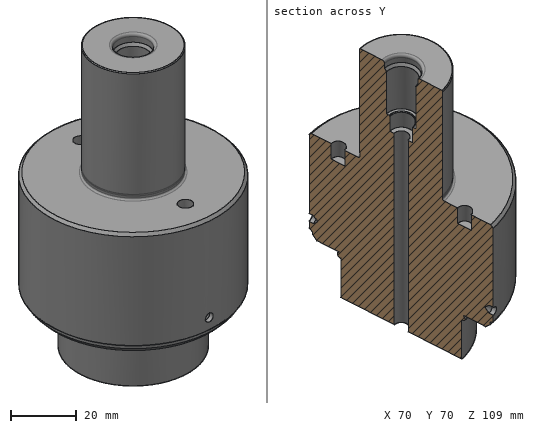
import cadquery as cq
import math

total_height = 109.0

spigot_diameter = 46.0
ring_thickness = 2.3
ring_diameter = 48.6

body_diameter = 70.0
body_bottom = 18.7
body_top = 62.9
body_top_chamfer = 1.0
body_bottom_diameter = 64.2
collar_diameter = 67.5
collar_bevel_top = 20.5
collar_top = 21.5
body_bevel_top = 22.5

shaft_diameter = 31.7
shaft_chamfer = 0.3
neck_diameter = 31.5
neck_top = 64.3
neck_taper_height = 0.7
neck_fillet_radius = 0.7

mouth_round_radius = 1.0
counterbore_diameter = 12.5
counterbore_depth = 3.0
thread_diameter = 11.0
thread_taper_height = 1.0
thread_depth = 21.8
pilot_mouth_diameter = 9.0
pilot_diameter = 8.5
pilot_depth = 28.3
through_diameter = 5.2

pin_hole_diameter = 5.0
pin_hole_depth = 6.5
pin_hole_offset = 24.0

side_hole_diameter = 3.2
side_hole_depth = 1.6
side_hole_height = 26.9
side_hole_tip_angle = 90.0


def disc(diameter, bottom, top):
    """Cylinder about Z between two heights."""
    return cq.Workplane("XY").workplane(offset=bottom).circle(diameter / 2).extrude(top - bottom)


def make_spigot():
    """Spigot with a round-edged sealing ring against the body."""
    crown_radius = ring_thickness / 2
    crown_start = ring_diameter / 2 - crown_radius
    ring_bottom = body_bottom - ring_thickness
    profile = (
        cq.Workplane("XZ")
        .lineTo(spigot_diameter / 2, 0)
        .lineTo(spigot_diameter / 2, ring_bottom)
        .lineTo(crown_start, ring_bottom)
        .threePointArc((ring_diameter / 2, ring_bottom + crown_radius), (crown_start, body_bottom))
        .lineTo(0, body_bottom)
        .close()
    )
    return profile.revolve(360, (0, 0), (0, 1))


def make_body():
    radius = body_diameter / 2
    profile = [
        (0, body_bottom),
        (body_bottom_diameter / 2, body_bottom),
        (collar_diameter / 2, collar_bevel_top),
        (collar_diameter / 2, collar_top),
        (radius, body_bevel_top),
        (radius, body_top - body_top_chamfer),
        (radius - body_top_chamfer, body_top),
        (0, body_top),
    ]
    return cq.Workplane("XZ").polyline(profile).close().revolve(360, (0, 0), (0, 1))


def make_shaft():
    """Shaft with a chamfered top and a neck filleted into the body."""
    radius = shaft_diameter / 2
    neck_radius = neck_diameter / 2
    foot_radius = neck_radius + neck_fillet_radius
    fillet_top = body_top + neck_fillet_radius
    diagonal = neck_fillet_radius * math.sqrt(0.5)
    fillet_middle = (foot_radius - diagonal, fillet_top - diagonal)
    profile = (
        cq.Workplane("XZ")
        .moveTo(0, body_bottom)
        .lineTo(neck_radius, body_bottom)
        .lineTo(neck_radius, body_top)
        .lineTo(foot_radius, body_top)
        .threePointArc(fillet_middle, (neck_radius, fillet_top))
        .lineTo(neck_radius, neck_top)
        .lineTo(radius, neck_top + neck_taper_height)
        .lineTo(radius, total_height - shaft_chamfer)
        .lineTo(radius - shaft_chamfer, total_height)
        .lineTo(0, total_height)
        .close()
    )
    return profile.revolve(360, (0, 0), (0, 1))


def make_bore():
    """Stepped bore whose mouth flares out in a convex round."""
    through_radius = through_diameter / 2
    pilot_radius = pilot_diameter / 2
    pilot_mouth_radius = pilot_mouth_diameter / 2
    thread_radius = thread_diameter / 2
    counterbore_radius = counterbore_diameter / 2
    pilot_bottom = total_height - pilot_depth
    thread_bottom = total_height - thread_depth
    counterbore_bottom = total_height - counterbore_depth
    mouth_radius = counterbore_radius + mouth_round_radius
    round_start = total_height - mouth_round_radius
    diagonal = mouth_round_radius * math.sqrt(0.5)
    round_middle = (mouth_radius - diagonal, round_start + diagonal)
    profile = (
        cq.Workplane("XZ")
        .lineTo(through_radius, 0)
        .lineTo(through_radius, pilot_bottom)
        .lineTo(pilot_radius, pilot_bottom)
        .lineTo(pilot_radius, thread_bottom - (pilot_mouth_radius - pilot_radius))
        .lineTo(pilot_mouth_radius, thread_bottom)
        .lineTo(thread_radius, thread_bottom)
        .lineTo(thread_radius, counterbore_bottom - thread_taper_height)
        .lineTo(counterbore_radius, counterbore_bottom)
        .lineTo(counterbore_radius, round_start)
        .threePointArc(round_middle, (mouth_radius, total_height))
        .lineTo(0, total_height)
        .close()
    )
    return profile.revolve(360, (0, 0), (0, 1))


def make_pin_hole(side):
    return disc(pin_hole_diameter, body_top - pin_hole_depth, body_top).translate((side * pin_hole_offset, 0, 0))


def make_side_hole(side):
    """Drilled hole entering the body along X, with a conical end."""
    radius = side_hole_diameter / 2
    tip_length = radius / math.tan(math.radians(side_hole_tip_angle / 2))
    mouth = body_diameter / 2
    bottom = mouth - side_hole_depth
    profile = [(mouth, 0), (mouth, radius), (bottom, radius), (bottom - tip_length, 0)]
    hole = cq.Workplane("XY").polyline(profile).close().revolve(360, (0, 0), (1, 0))
    if side < 0:
        hole = hole.mirror("YZ")
    return hole.translate((0, 0, side_hole_height))


result = make_spigot().union(make_body()).union(make_shaft()).cut(make_bore())
for side in (-1, 1):
    result = result.cut(make_pin_hole(side)).cut(make_side_hole(side))